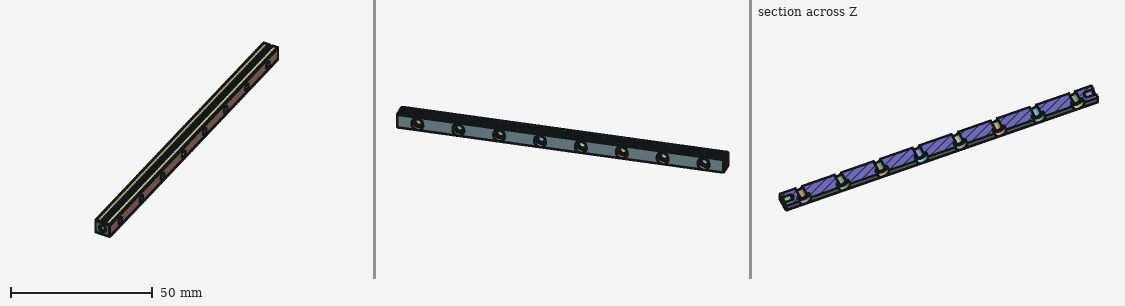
import cadquery as cq

length = 120.0
width = 6.0
height = 5.5
edge_chamfer = 0.3

groove_width = 1.8
relief_width = 0.7
groove_depth = (groove_width - relief_width) / 2
relief_depth = 1.1

hole_count = 8
hole_pitch = 15.0
hole_diameter = 2.5
counterbore_diameter = 4.3
counterbore_depth = 2.0
hole_drop = 0.2

end_hole_diameter = 2.2
end_hole_depth = 3.6
countersink_diameter = 2.8
countersink_depth = 0.6
drill_tip_depth = 0.6


def rail_body():
    body = cq.Workplane("XY").box(width, length, height)
    body = body.edges("|Y").chamfer(edge_chamfer)
    return body.faces("<Y or >Y").chamfer(edge_chamfer)


def groove():
    top = height / 2
    half_groove = groove_width / 2
    half_relief = relief_width / 2
    outline = [
        (-half_groove, top),
        (-half_relief, top - groove_depth),
        (-half_relief, top - relief_depth),
        (half_relief, top - relief_depth),
        (half_relief, top - groove_depth),
        (half_groove, top),
    ]
    return cq.Workplane("XZ").polyline(outline).close().extrude(length / 2, both=True)


def side_holes():
    first = -hole_pitch * (hole_count - 1) / 2
    centres = [(first + i * hole_pitch, -hole_drop) for i in range(hole_count)]
    side = cq.Workplane("YZ", origin=(-width / 2, 0, 0)).pushPoints(centres)
    through = side.circle(hole_diameter / 2).extrude(width)
    counterbore = side.circle(counterbore_diameter / 2).extrude(counterbore_depth)
    return through.union(counterbore)


def front_end_hole():
    face = -length / 2
    radius = end_hole_diameter / 2
    half_section = [
        (0, face),
        (countersink_diameter / 2, face),
        (radius, face + countersink_depth),
        (radius, face + end_hole_depth),
        (0, face + end_hole_depth + drill_tip_depth),
    ]
    return cq.Workplane("XY").polyline(half_section).close().revolve(360, (0, 0, 0), (0, 1, 0))


front_hole = front_end_hole()
back_hole = front_hole.mirror("XZ")
result = rail_body().cut(groove()).cut(side_holes()).cut(front_hole).cut(back_hole)